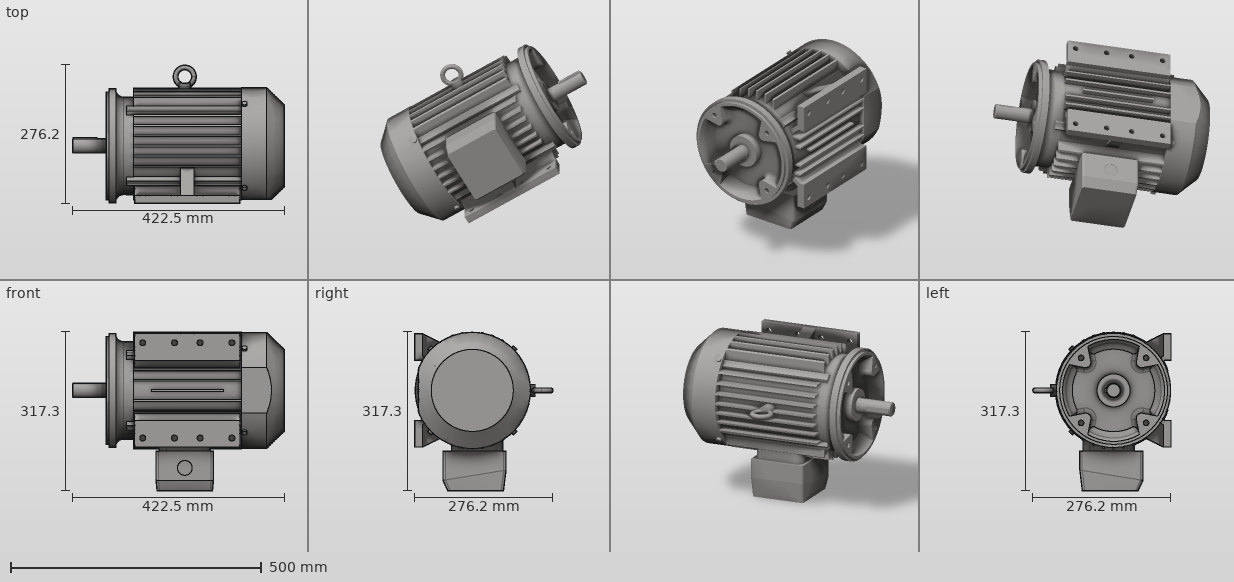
import cadquery as cq
import math


spigot_start = 66.8
flange_start = 73.0
flange_end = 86.5
neck_start = 101.5
lug_start = 107.7
frame_start = 121.3
frame_end = 336.7
cone_start = 387.5
total_length = 422.5
frame_middle = (frame_start + frame_end) / 2

shaft_radius = 14.5
shaft_chamfer = 1.3
shoulder_start = 67.5
shoulder_radius = 14.8
key_length = 47.7
key_width = 9.0
key_top = 17.0

spigot_radius = 107.7
flange_radius = 114.0
neck_radius = 97.5
sweep_radius = 108.0
recess_radius = 102.0
recess_wall_end_radius = 95.0
recess_floor_radius = 82.5
recess_wall_end = 80.0
recess_floor = 91.5
hub_start = 75.0
hub_radius = 33.0
lobe_tip_radius = 10.5
lobe_tip_distance = 79.0
lobe_side_angle = 34.0
lobe_floor_fillet = 10.0
flange_hole_radius = 5.5
flange_hole_distance = 91.5

frame_radius = 117.0
core_radius = 96.5
fin_pitch = 20.3
fin_thickness = 4.0
short_fin_start = 157.0
short_fin_end = 301.2
side_fin_radius = 115.5
negative_y_fin_reach = 108.0
upright_fin_steps = (-2, -1, 0, 1, 2, 3)
both_sides_fin_steps = (-2, -1, 1, 2)
positive_y_fin_steps = (-3, 0, 3)
lug_top_radius = 105.5
lug_top_half_width = 6.8
lug_root_half_width = 10.0
lug_groove_half_width = 2.0
lug_groove_depth = 1.3
corner_angles = (45, 135, 225, 315)

foot_bottom = -115.0
foot_thickness = 15.5
foot_top = foot_bottom + foot_thickness
foot_outer = 113.2
foot_inner = 60.0
foot_length = 210.0
foot_hole_radius = 6.0
foot_hole_height = 95.0
foot_hole_spacings = (178.0, 51.0)
web_upper = 69.0
web_lower_start = -102.5
web_run = 21.0
web_drop = 17.0
gusset_centre = 229.0
gusset_width = 27.0
gusset_root_y = -44.5
gusset_root_z = 85.8

accessory_centre = 224.0
eye_height = 138.0
eye_outer_radius = 23.2
eye_hole_radius = 13.5
eye_collar_radius = 12.3
eye_collar_top = 125.5

pedestal_length = 102.2
pedestal_y_min = -42.0
pedestal_y_max = 61.3
pedestal_fillet = 14.5
box_top = -121.3
box_bottom = -200.3
box_length = 115.5
box_y_min = -58.7
box_y_max = 67.5
box_base_length = 111.0
box_base_y_min = -49.0
box_base_y_max = 62.5
bend_z_at_y_max = -159.0
bend_z_at_y_min = -179.5
box_fillet = 5.0
entry_radius = 14.8
entry_height = -154.5
entry_depth = 1.0

cover_radius = 116.0
cover_end_radius = 82.0
cover_flat = -107.0
screw_x = 343.0
screw_radius = 5.0
screw_top = 121.0


def disc(radius, start, end):
    """Solid cylinder on the motor axis between two X positions."""
    return cq.Workplane("YZ", origin=(start, 0, 0)).circle(radius).extrude(end - start)


def block(x, y, z):
    """Box given as (min, max) pairs."""
    size = (x[1] - x[0], y[1] - y[0], z[1] - z[0])
    return cq.Workplane("XY", origin=(x[0], y[0], z[0])).box(*size, centered=False)


def turned(angle, shape):
    """Copy of a shape turned about the motor axis."""
    return shape.rotate((0, 0, 0), (1, 0, 0), angle)


def make_shaft():
    shaft = disc(shaft_radius, 0, hub_start).faces("<X").chamfer(shaft_chamfer)
    shoulder = disc(shoulder_radius, shoulder_start, hub_start)
    half_key = key_width / 2
    key = block((shaft_chamfer, shaft_chamfer + key_length), (0, key_top), (-half_key, half_key))
    return shaft.union(shoulder).union(key)


def make_recess_lobe():
    """Wedge with a rounded tip that leaves a bolt pillar standing in the recess, along +Y."""
    angle = math.radians(lobe_side_angle)
    tangent_y = lobe_tip_distance - lobe_tip_radius * math.sin(angle)
    tangent_z = lobe_tip_radius * math.cos(angle)
    outer_z = tangent_z + (flange_radius - tangent_y) * math.tan(angle)
    return (
        cq.Workplane("YZ", origin=(spigot_start, 0, 0))
        .moveTo(flange_radius, outer_z)
        .lineTo(tangent_y, tangent_z)
        .threePointArc((lobe_tip_distance - lobe_tip_radius, 0), (tangent_y, -tangent_z))
        .lineTo(flange_radius, -outer_z)
        .close()
        .extrude(recess_floor - spigot_start)
    )


def make_recess():
    """Material removed from the flange face: a bowl interrupted by four bolt pillars."""
    bowl = (
        cq.Workplane("XY")
        .moveTo(spigot_start, 0)
        .lineTo(spigot_start, recess_radius)
        .lineTo(recess_wall_end, recess_wall_end_radius)
        .tangentArcPoint((recess_floor, recess_floor_radius), relative=False)
        .lineTo(recess_floor, 0)
        .close()
        .revolve(360, (0, 0, 0), (1, 0, 0))
    )
    lobe = make_recess_lobe()
    for angle in corner_angles:
        bowl = bowl.cut(turned(angle, lobe))
    pillar_feet = []
    for edge in bowl.faces(">X").edges().vals():
        belongs_to_bowl = edge.geomType() == "CIRCLE" and edge.radius() > lobe_tip_distance
        if not belongs_to_bowl:
            pillar_feet.append(edge)
    bowl = bowl.newObject(pillar_feet).fillet(lobe_floor_fillet)
    return bowl.cut(disc(hub_radius, hub_start, recess_floor))


def sweep_middle():
    """Middle point of the concave arc that runs tangent into the neck."""
    run = neck_start - flange_end
    rise = sweep_radius - neck_radius
    radius = (run**2 + rise**2) / (2 * rise)
    half_angle = math.asin(run / radius) / 2
    return (
        neck_start - radius * math.sin(half_angle),
        neck_radius + radius * (1 - math.cos(half_angle)),
    )


def make_flange():
    flange = (
        cq.Workplane("XY")
        .moveTo(spigot_start, 0)
        .lineTo(spigot_start, spigot_radius)
        .lineTo(flange_start, spigot_radius)
        .lineTo(flange_start, flange_radius)
        .lineTo(flange_end, flange_radius)
        .lineTo(flange_end, sweep_radius)
        .threePointArc(sweep_middle(), (neck_start, neck_radius))
        .lineTo(frame_start, neck_radius)
        .lineTo(frame_start, 0)
        .close()
        .revolve(360, (0, 0, 0), (1, 0, 0))
    )
    flange = flange.cut(make_recess())
    hole = disc(flange_hole_radius, spigot_start, recess_floor).translate((0, flange_hole_distance, 0))
    for angle in corner_angles:
        flange = flange.cut(turned(angle, hole))
    return flange


def make_core_with_fins():
    """Cylindrical core with upright fins above and below it and level fins on both sides."""
    half = fin_thickness / 2
    x_range = (frame_start, frame_end)
    upright_fins = disc(core_radius, *x_range)
    for step in upright_fin_steps:
        y = step * fin_pitch
        upright_fins = upright_fins.union(block(x_range, (y - half, y + half), (-frame_radius, frame_radius)))
    upright_fins = upright_fins.intersect(disc(frame_radius, *x_range))

    side_fins = disc(core_radius, *x_range)
    for step in both_sides_fin_steps + positive_y_fin_steps:
        z = step * fin_pitch
        y_start = -negative_y_fin_reach if step in both_sides_fin_steps else 0
        side_fins = side_fins.union(block(x_range, (y_start, side_fin_radius), (z - half, z + half)))
    side_fins = side_fins.intersect(disc(side_fin_radius, *x_range))

    short_fin = block((short_fin_start, short_fin_end), (-negative_y_fin_reach, 0), (-half, half))
    return upright_fins.union(side_fins).union(short_fin)


def make_lug():
    """Long boss with sloping sides and a shallow groove in its top, along +Y."""
    groove_floor = lug_top_radius - lug_groove_depth
    root = math.sqrt(core_radius**2 - lug_root_half_width**2)
    return (
        cq.Workplane("YZ", origin=(lug_start, 0, 0))
        .moveTo(0, -lug_root_half_width)
        .lineTo(root, -lug_root_half_width)
        .lineTo(lug_top_radius, -lug_top_half_width)
        .lineTo(groove_floor, -lug_groove_half_width)
        .lineTo(groove_floor, lug_groove_half_width)
        .lineTo(lug_top_radius, lug_top_half_width)
        .lineTo(root, lug_root_half_width)
        .lineTo(0, lug_root_half_width)
        .close()
        .extrude(frame_end - lug_start)
    )


def make_foot():
    """Upper foot: drilled plate, sloping web along its whole length, and one gusset."""
    half_length = foot_length / 2
    foot = (
        cq.Workplane("YZ", origin=(frame_middle - half_length, 0, 0))
        .moveTo(foot_bottom, foot_inner)
        .lineTo(foot_bottom, foot_outer)
        .lineTo(foot_top, foot_outer)
        .lineTo(foot_top, web_upper)
        .lineTo(foot_top + web_run, web_upper - web_drop)
        .lineTo(web_lower_start + web_run, foot_inner - web_drop)
        .lineTo(web_lower_start, foot_inner)
        .close()
        .extrude(foot_length)
    )
    gusset = (
        cq.Workplane("YZ", origin=(gusset_centre - gusset_width / 2, 0, 0))
        .moveTo(foot_top, foot_outer)
        .lineTo(gusset_root_y, gusset_root_z)
        .lineTo(gusset_root_y, web_upper - web_drop)
        .lineTo(foot_top + web_run, web_upper - web_drop)
        .lineTo(foot_top, web_upper)
        .close()
        .extrude(gusset_width)
    )
    hole_places = []
    for spacing in foot_hole_spacings:
        for side in (-1, 1):
            hole_places.append((frame_middle + side * spacing / 2, foot_hole_height))
    holes = (
        cq.Workplane("XZ", origin=(0, foot_top, 0))
        .pushPoints(hole_places)
        .circle(foot_hole_radius)
        .extrude(foot_thickness)
    )
    return foot.union(gusset).cut(holes)


def make_lifting_eye():
    tube_radius = (eye_outer_radius - eye_hole_radius) / 2
    ring_radius = eye_outer_radius - tube_radius
    collar = (
        cq.Workplane("XZ", origin=(accessory_centre, eye_collar_top, 0))
        .circle(eye_collar_radius)
        .extrude(eye_collar_top)
    )
    ring = cq.Workplane(
        cq.Solid.makeTorus(
            ring_radius, tube_radius, cq.Vector(accessory_centre, eye_height, 0), cq.Vector(0, 0, 1)
        )
    )
    return collar.union(ring)


def make_pedestal():
    half = pedestal_length / 2
    return block(
        (accessory_centre - half, accessory_centre + half),
        (pedestal_y_min, pedestal_y_max),
        (box_top, 0),
    ).edges("|Z").fillet(pedestal_fillet)


def make_motor():
    motor = make_core_with_fins().union(make_flange()).union(make_shaft())
    lug = make_lug()
    for angle in corner_angles:
        motor = motor.union(turned(angle, lug))
    foot = make_foot()
    motor = motor.union(foot).union(foot.mirror("XY"))
    return motor.union(make_lifting_eye()).union(make_pedestal())


def make_terminal_box():
    """Rounded box with an inclined bend line, below which all four sides draw in to a smaller base."""
    upper = (
        cq.Workplane("YZ", origin=(accessory_centre - box_length / 2, 0, 0))
        .moveTo(box_y_min, box_top)
        .lineTo(box_y_max, box_top)
        .lineTo(box_y_max, bend_z_at_y_max)
        .lineTo(box_y_min, bend_z_at_y_min)
        .close()
        .extrude(box_length)
        .edges("|Z")
        .fillet(box_fillet)
    )
    half_base = box_base_length / 2
    base = block(
        (accessory_centre - half_base, accessory_centre + half_base),
        (box_base_y_min, box_base_y_max),
        (box_bottom, bend_z_at_y_min),
    ).edges("|Z").fillet(box_fillet)
    bend_outline = upper.faces("<Z").wires().val()
    base_outline = base.faces("<Z").wires().val()
    lower = cq.Workplane(cq.Solid.makeLoft([bend_outline, base_outline], True))
    box = upper.union(lower)
    entry = (
        cq.Workplane("XZ", origin=(accessory_centre, box_y_min + entry_depth, entry_height))
        .circle(entry_radius)
        .extrude(entry_depth)
    )
    return box.cut(entry)


def make_fan_cover():
    cover = (
        cq.Workplane("XY")
        .moveTo(frame_end, 0)
        .lineTo(frame_end, cover_radius)
        .lineTo(cone_start, cover_radius)
        .lineTo(total_length, cover_end_radius)
        .lineTo(total_length, 0)
        .close()
        .revolve(360, (0, 0, 0), (1, 0, 0))
    )
    x_range = (frame_end, total_length)
    cover = cover.cut(block(x_range, (-cover_radius, cover_flat), (-cover_radius, cover_radius)))
    screw = (
        cq.Workplane("XZ", origin=(screw_x, screw_top, 0))
        .circle(screw_radius)
        .extrude(screw_top - core_radius)
    )
    for angle in corner_angles:
        cover = cover.union(turned(angle, screw))
    return cover


motor = make_motor().solids().val()
terminal_box = make_terminal_box().solids().val()
fan_cover = make_fan_cover().solids().val()

result = cq.Compound.makeCompound([motor, terminal_box, fan_cover])